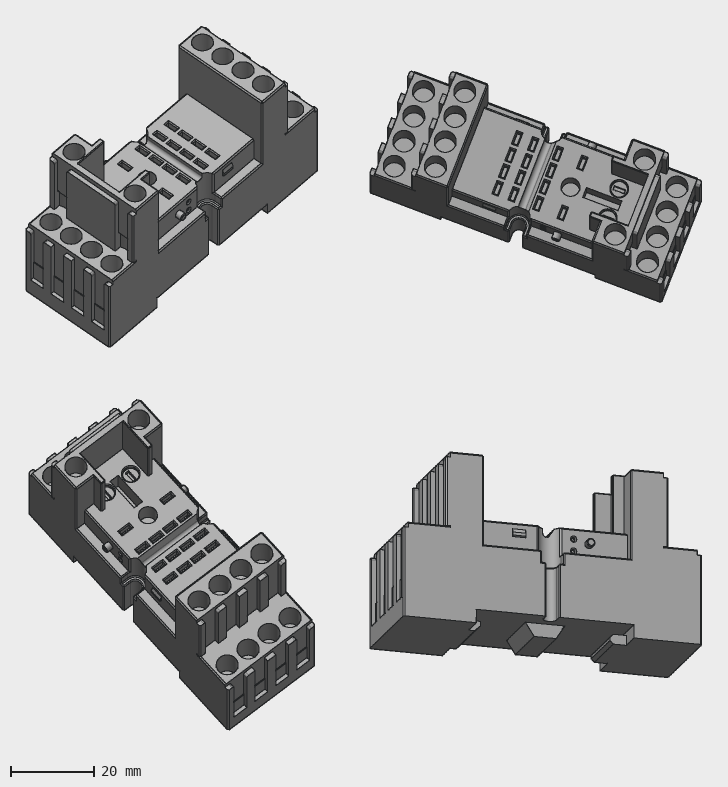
import cadquery as cq
import math


WIDTH = 27.2
LENGTH = 75.2
HEIGHT = 42.6
HALF_WIDTH = WIDTH / 2
HALF_LENGTH = LENGTH / 2
EDGE_CHAMFER = 0.4
OVERLAP = 0.75
TOLERANCE = 0.01

RIB_DEPTH = 1.2
RIB_TOP_DROP = 1.35
LOWER_TOP = 23.85
SHELF_TOP = 19.9
LOWER_FACE = HALF_LENGTH - RIB_DEPTH
REAR_UPPER_FACE = 25.7
FRONT_UPPER_FACE = -27.9
REAR_INNER_FACE = 17.4
FRONT_INNER_FACE = -19.6

RAIL_DEPTH = 3.4
RAIL_REAR = 19.25
RAIL_FRONT = -20.45
CLIP_WIDTH = 15.05
CLIP_TOP = 2.5
FIXED_CLIP_ROOT = 17.4
FIXED_CLIP_TIP = 16.25
FIXED_CLIP_TIP_Z = 1.4
FIXED_CLIP_TOE = 17.75
SPRING_CLIP_TIP = -16.3
SPRING_CLIP_BEVEL = 0.8
FOOT_TOP_HALF = 5.0
FOOT_BASE_HALF = 2.8

TERMINAL_COUNT = 4
TERMINAL_PITCH = 6.55
TERMINAL_XS = [(i - (TERMINAL_COUNT - 1) / 2) * TERMINAL_PITCH for i in range(TERMINAL_COUNT)]
OUTER_TERMINAL_XS = [TERMINAL_XS[0], TERMINAL_XS[-1]]
CHANNEL_WIDTH = 4.0
CHANNEL_BOTTOM = 5.2
PAD_TOP = 10.9
PAD_THICKNESS = 0.2
RIB_FILLET = 0.6
MOUTH_REACH = CHANNEL_WIDTH * 0.6
RELIEF_TOP = 29.7
RELIEF_RADIUS = 5.65

TERMINAL_DIAMETER = 5.3
TERMINAL_DEPTH = 9.0
REAR_LOWER_ROW = 32.6
REAR_UPPER_ROW = 22.0
FRONT_UPPER_ROW = -24.2
FRONT_LOWER_ROW = -32.55

SEAT_WIDTH = 21.9
SEAT_TOP = 27.0
SEAT_ROOT = SHELF_TOP - OVERLAP
SEAT_SIDE = SEAT_WIDTH / 2

NOTCH_CENTER_X = 11.4
NOTCH_WIDTH = 3.3
NOTCH_SEAT_WIDTH = 5.6
NOTCH_CHAMFER = 0.3
NOTCH_SEAT_Z = 16.9

GROOVE_WALL = 1.05
GROOVE_RADIUS = 1.0
GROOVE_DEPTH = 2.0
GROOVE_SLOPE_ANGLE = 58.0

CONTACT_XS = [-6.55, -2.14, 2.14, 6.55]
CONTACT_ROWS = [(7.3, CONTACT_XS), (3.15, CONTACT_XS), (-3.15, CONTACT_XS), (-9.5, [-6.55, 6.55])]
CONTACT_LENGTH = 2.9
CONTACT_WIDTH = 1.05
CONTACT_DEPTH = 2.25
CONTACT_BEVEL = 0.3

KEY_HOLE_DIAMETER = 4.5
KEY_HOLE_Y = -8.95
KEY_SLOT_WIDTH = 2.55
KEY_SLOT_REAR = -12.55
KEY_SLOT_FRONT = -21.65
KEY_DEPTH = 6.0

BAY_HALF_WIDTH = 6.6
BAY_FRONT = -26.4
BAY_WALL_END = -16.85
BAY_WALL_THICKNESS = 1.4
BAY_CHAMFER = 0.2
COIL_SCREW_X = 3.8
COIL_SCREW_Y = -20.0
COIL_SCREW_DIAMETER = 4.0
COIL_SCREW_RIM = 4.5
COIL_SCREW_DEPTH = 1.1
DRIVER_SLOT_WIDTH = 1.0
DRIVER_SLOT_LENGTH = 2.85
DRIVER_SLOT_DEPTH = 2.25

PIN_DIAMETER = 2.0
PIN_Y = -9.9
PIN_Z = 23.4
PIN_END_X = 12.8
PIN_CHAMFER = 0.2
DIMPLE_DIAMETER = 1.0
DIMPLE_RIM = 1.6
DIMPLE_DEPTH = 1.1
DIMPLE_Y = -6.1
DIMPLE_ZS = [21.35, 24.4]
CATCH_CENTER_Y = 7.7
CATCH_LENGTH = 3.3
CATCH_REACH = 0.5
CATCH_TOP = 25.5
CATCH_BOTTOM = 23.5
CATCH_TOP_SLOPE = 1.0
CATCH_BOTTOM_SLOPE = 0.2


def block(x0, x1, y0, y1, z0, z1):
    """Box between two opposite corners."""
    return cq.Workplane("XY").box(x1 - x0, y1 - y0, z1 - z0, centered=False).translate((x0, y0, z0))


def both_sides(shape):
    """Add the mirror image across the YZ plane."""
    return shape.union(shape.mirror("YZ"))


def cross_section(points, width):
    """Extrude a closed YZ outline symmetrically along X."""
    return cq.Workplane("YZ").polyline(points).close().extrude(width / 2, both=True)


def side_slots(slot_width, z0, z1):
    """Round-ended cutters entering from both sides."""
    radius = slot_width / 2
    reach = HALF_WIDTH + radius
    cutter = block(NOTCH_CENTER_X, reach, -radius, radius, z0, z1)
    base = cq.Workplane("XY").workplane(offset=z0)
    rounded = base.center(NOTCH_CENTER_X, 0).circle(radius).extrude(z1 - z0)
    return both_sides(cutter.union(rounded))


def is_broken_side_edge(edge):
    """Side outline edges to chamfer: all but the underside and the corners behind the ribs."""
    center = edge.Center()
    box = edge.BoundingBox()
    on_side = abs(abs(center.x) - HALF_WIDTH) < TOLERANCE and box.xlen < TOLERANCE
    upright = box.ylen < TOLERANCE
    behind_ribs = upright and not FRONT_UPPER_FACE + TOLERANCE < center.y < REAR_UPPER_FACE - TOLERANCE
    return on_side and center.z > RAIL_DEPTH + TOLERANCE and not behind_ribs


def is_inner_top_edge(edge):
    """Top edges of the tiers facing the relay seat."""
    center = edge.Center()
    facing_seat = FRONT_INNER_FACE - TOLERANCE < center.y < REAR_INNER_FACE + TOLERANCE
    return center.z > HEIGHT - TOLERANCE and facing_seat and edge.BoundingBox().ylen < TOLERANCE


def is_notch_edge(edge):
    """Rims of the notch seats at the shelf, and of the notches at the seat floor."""
    center = edge.Center()
    box = edge.BoundingBox()
    in_seat = abs(center.y) < NOTCH_SEAT_WIDTH / 2 + TOLERANCE
    in_notch = abs(center.y) < NOTCH_WIDTH / 2 + TOLERANCE
    level = box.zlen < TOLERANCE and box.xlen > TOLERANCE
    shelf_rim = in_seat and abs(center.z - SHELF_TOP) < TOLERANCE
    floor_rim = in_notch and abs(center.z - NOTCH_SEAT_Z) < TOLERANCE
    return level and (shelf_rim or floor_rim)


def pick(shape, test):
    """Edges of a shape that pass a test."""
    return shape.newObject([edge for edge in shape.edges().vals() if test(edge)])


def make_flare(slot_width, floor_z):
    """Outward-flaring cutter that bevels a slot's upright and lower edges on the +X side."""
    inner_height = HEIGHT - floor_z
    outer_height = inner_height + NOTCH_CHAMFER
    return (
        cq.Workplane("YZ")
        .workplane(offset=HALF_WIDTH - NOTCH_CHAMFER)
        .center(0, HEIGHT - inner_height / 2)
        .rect(slot_width, inner_height)
        .workplane(offset=NOTCH_CHAMFER)
        .center(0, -NOTCH_CHAMFER / 2)
        .rect(slot_width + 2 * NOTCH_CHAMFER, outer_height)
        .loft()
    )


def make_body():
    """Tiered body with its bevelled side edges and mounting notches."""
    outline = [
        (-LOWER_FACE, 0),
        (RAIL_FRONT, 0),
        (RAIL_FRONT, RAIL_DEPTH),
        (RAIL_REAR, RAIL_DEPTH),
        (RAIL_REAR, 0),
        (LOWER_FACE, 0),
        (LOWER_FACE, LOWER_TOP),
        (REAR_UPPER_FACE, LOWER_TOP),
        (REAR_UPPER_FACE, HEIGHT),
        (REAR_INNER_FACE, HEIGHT),
        (REAR_INNER_FACE, SHELF_TOP),
        (FRONT_INNER_FACE, SHELF_TOP),
        (FRONT_INNER_FACE, HEIGHT),
        (FRONT_UPPER_FACE, HEIGHT),
        (FRONT_UPPER_FACE, LOWER_TOP),
        (-LOWER_FACE, LOWER_TOP),
    ]
    body = cross_section(outline, WIDTH)
    body = pick(body, lambda edge: is_broken_side_edge(edge) or is_inner_top_edge(edge)).chamfer(EDGE_CHAMFER)
    body = body.cut(side_slots(NOTCH_SEAT_WIDTH, NOTCH_SEAT_Z, HEIGHT))
    body = body.cut(side_slots(NOTCH_WIDTH, 0, NOTCH_SEAT_Z))
    body = pick(body, is_notch_edge).chamfer(NOTCH_CHAMFER)
    body = body.cut(both_sides(make_flare(NOTCH_SEAT_WIDTH, NOTCH_SEAT_Z)))
    return body.cut(both_sides(make_flare(NOTCH_WIDTH, 0)))


def channel(x, y0, y1, z0, z1):
    """Box of channel width centered on a terminal."""
    return block(x - CHANNEL_WIDTH / 2, x + CHANNEL_WIDTH / 2, y0, y1, z0, z1)


def make_rib_panel(face_y, z0, z1, channel_xs, channel_z):
    """Ribbed panel on the end of a tier, built facing +Y with channels open at the top."""
    outer_y = face_y + RIB_DEPTH
    panel = block(-HALF_WIDTH, HALF_WIDTH, face_y, outer_y, z0, z1)
    panel = panel.edges("|Z and >Y").chamfer(EDGE_CHAMFER)
    for x in channel_xs:
        panel = panel.cut(channel(x, face_y, outer_y, channel_z, z1))
    for x in OUTER_TERMINAL_XS:
        mouth = cq.selectors.BoxSelector(
            (x - MOUTH_REACH, face_y, z1 - TOLERANCE),
            (x + MOUTH_REACH, outer_y, z1 + TOLERANCE),
        )
        panel = panel.edges("|Y").edges(mouth).fillet(RIB_FILLET)
    return panel


def make_lower_panel():
    """Rib panel of a lower tier, with a raised pad at the bottom of each channel."""
    panel = make_rib_panel(LOWER_FACE, 0, LOWER_TOP - RIB_TOP_DROP, TERMINAL_XS, CHANNEL_BOTTOM)
    for x in TERMINAL_XS:
        panel = panel.union(channel(x, LOWER_FACE, LOWER_FACE + PAD_THICKNESS, CHANNEL_BOTTOM, PAD_TOP))
    return panel


def make_upper_panel(face_y, channel_xs):
    """Rib panel of an upper tier, standing on the lower tier."""
    return make_rib_panel(face_y, LOWER_TOP, HEIGHT - RIB_TOP_DROP, channel_xs, LOWER_TOP)


def cut_driver_reliefs(part, xs, row_y):
    """Round hollows at the foot of the upper channels, concentric with the lower terminals."""
    for x in xs:
        round_hollow = (
            cq.Workplane("XY")
            .workplane(offset=LOWER_TOP)
            .center(x, row_y)
            .circle(RELIEF_RADIUS)
            .extrude(RELIEF_TOP - LOWER_TOP)
        )
        bounds = channel(x, row_y - RELIEF_RADIUS, row_y + RELIEF_RADIUS, LOWER_TOP, RELIEF_TOP)
        part = part.cut(round_hollow.intersect(bounds))
    return part


def is_seat_notch_corner(edge):
    """Upright edges where the notches meet the sides of the relay seat."""
    center = edge.Center()
    box = edge.BoundingBox()
    in_notch = abs(center.y) < NOTCH_SEAT_WIDTH / 2 + TOLERANCE
    return in_notch and box.zlen > SEAT_TOP - SHELF_TOP and abs(center.x) > SEAT_SIDE - TOLERANCE


def make_seat():
    """Raised relay seat, sunk slightly into the shelf."""
    seat = block(-SEAT_SIDE, SEAT_SIDE, FRONT_INNER_FACE, REAR_INNER_FACE, SEAT_ROOT, SEAT_TOP)
    seat = seat.edges("|Y and >Z").chamfer(EDGE_CHAMFER)
    seat = seat.cut(side_slots(NOTCH_SEAT_WIDTH, SEAT_ROOT, SEAT_TOP))
    return pick(seat, is_seat_notch_corner).chamfer(EDGE_CHAMFER)


def make_groove():
    """Cross groove with one upright wall, a round floor and one sloping wall."""
    center_y = GROOVE_WALL - GROOVE_RADIUS
    center_z = SEAT_TOP - GROOVE_DEPTH + GROOVE_RADIUS
    slope = math.radians(GROOVE_SLOPE_ANGLE)
    slope_y = center_y - GROOVE_RADIUS * math.sin(slope)
    slope_z = center_z - GROOVE_RADIUS * math.cos(slope)
    slope_run = (SEAT_TOP - slope_z) / math.tan(slope)
    return (
        cq.Workplane("YZ")
        .moveTo(GROOVE_WALL, SEAT_TOP)
        .lineTo(GROOVE_WALL, center_z)
        .threePointArc((center_y, center_z - GROOVE_RADIUS), (slope_y, slope_z))
        .lineTo(slope_y - slope_run, SEAT_TOP)
        .close()
        .extrude(HALF_WIDTH, both=True)
    )


def make_contact(x, y):
    """Rectangular contact opening with a bevelled rim."""
    rim = (
        cq.Workplane("XY")
        .workplane(offset=SEAT_TOP)
        .center(x, y)
        .rect(CONTACT_LENGTH + 2 * CONTACT_BEVEL, CONTACT_WIDTH + 2 * CONTACT_BEVEL)
        .workplane(offset=-CONTACT_BEVEL)
        .rect(CONTACT_LENGTH, CONTACT_WIDTH)
        .loft()
    )
    shaft = (
        cq.Workplane("XY")
        .workplane(offset=SEAT_TOP)
        .center(x, y)
        .rect(CONTACT_LENGTH, CONTACT_WIDTH)
        .extrude(-CONTACT_DEPTH)
    )
    return rim.union(shaft)


def drill(points, top_z, diameter, depth):
    """Blind cylindrical cutters entering from above."""
    return cq.Workplane("XY").workplane(offset=top_z).pushPoints(points).circle(diameter / 2).extrude(-depth)


def sunk_hole(diameter, rim_diameter, depth):
    """Blind hole cutter with a countersunk rim, entering along -Z from the origin."""
    sink = (rim_diameter - diameter) / 2
    outline = [(0, 0), (rim_diameter / 2, 0), (diameter / 2, -sink), (diameter / 2, -depth), (0, -depth)]
    return cq.Workplane("XZ").polyline(outline).close().revolve(360, (0, 0, 0), (0, 1, 0))


def cut_terminals(part):
    rows = [
        (REAR_LOWER_ROW, LOWER_TOP, TERMINAL_XS),
        (REAR_UPPER_ROW, HEIGHT, TERMINAL_XS),
        (FRONT_UPPER_ROW, HEIGHT, OUTER_TERMINAL_XS),
        (FRONT_LOWER_ROW, LOWER_TOP, TERMINAL_XS),
    ]
    for y, top_z, xs in rows:
        part = part.cut(drill([(x, y) for x in xs], top_z, TERMINAL_DIAMETER, TERMINAL_DEPTH))
    return part


def cut_contacts(part):
    for y, xs in CONTACT_ROWS:
        for x in xs:
            part = part.cut(make_contact(x, y))
    return part


def cut_key(part):
    """Round hole and long slot on the center line of the relay seat."""
    half_slot = KEY_SLOT_WIDTH / 2
    slot = block(-half_slot, half_slot, KEY_SLOT_FRONT, KEY_SLOT_REAR, SEAT_TOP - KEY_DEPTH, SEAT_TOP)
    return part.cut(drill([(0, KEY_HOLE_Y)], SEAT_TOP, KEY_HOLE_DIAMETER, KEY_DEPTH)).cut(slot)


def cut_dimples(part):
    """Small countersunk holes in both sides of the relay seat."""
    dimple = sunk_hole(DIMPLE_DIAMETER, DIMPLE_RIM, DIMPLE_DEPTH).rotate((0, 0, 0), (0, 1, 0), 90)
    for z in DIMPLE_ZS:
        part = part.cut(both_sides(dimple.translate((SEAT_SIDE, DIMPLE_Y, z))))
    return part


def make_bay_wall():
    """Wall reaching from the front tier on the +X side of the coil screw bay."""
    return block(
        BAY_HALF_WIDTH,
        BAY_HALF_WIDTH + BAY_WALL_THICKNESS,
        FRONT_INNER_FACE - OVERLAP,
        BAY_WALL_END,
        SEAT_TOP - OVERLAP,
        HEIGHT,
    )


def is_bay_wall_edge(edge):
    """Top edges of the bay walls and the upright edges at their free ends."""
    center = edge.Center()
    box = edge.BoundingBox()
    wall_outside = BAY_HALF_WIDTH + BAY_WALL_THICKNESS
    on_wall = BAY_HALF_WIDTH - TOLERANCE < abs(center.x) < wall_outside + TOLERANCE
    top = center.z > HEIGHT - TOLERANCE and center.y > BAY_FRONT + TOLERANCE
    free_end = abs(center.y - BAY_WALL_END) < TOLERANCE and center.z > SEAT_TOP + TOLERANCE
    return on_wall and (free_end or (top and box.ylen > BAY_WALL_THICKNESS))


def cut_coil_screws(part):
    for x in (-COIL_SCREW_X, COIL_SCREW_X):
        place = (x, COIL_SCREW_Y, SEAT_TOP)
        part = part.cut(sunk_hole(COIL_SCREW_DIAMETER, COIL_SCREW_RIM, COIL_SCREW_DEPTH).translate(place))
        driver = cq.Workplane("XY").rect(DRIVER_SLOT_WIDTH, DRIVER_SLOT_LENGTH).extrude(-DRIVER_SLOT_DEPTH)
        part = part.cut(driver.translate(place))
    return part


def make_pin():
    """Round retainer pin on the +X side of the seat."""
    pin = cq.Workplane("YZ").center(PIN_Y, PIN_Z).circle(PIN_DIAMETER / 2).extrude(PIN_END_X - SEAT_SIDE)
    pin = pin.translate((SEAT_SIDE, 0, 0))
    return pin.faces(">X").chamfer(PIN_CHAMFER)


def make_catch():
    """Wedge-shaped catch on the +X side of the seat."""
    outline = [
        (SEAT_SIDE - OVERLAP, CATCH_TOP),
        (SEAT_SIDE, CATCH_TOP),
        (SEAT_SIDE + CATCH_REACH, CATCH_TOP - CATCH_TOP_SLOPE),
        (SEAT_SIDE + CATCH_REACH, CATCH_BOTTOM + CATCH_BOTTOM_SLOPE),
        (SEAT_SIDE, CATCH_BOTTOM),
        (SEAT_SIDE - OVERLAP, CATCH_BOTTOM),
    ]
    catch = cq.Workplane("XZ").polyline(outline).close().extrude(CATCH_LENGTH / 2, both=True)
    return catch.translate((0, CATCH_CENTER_Y, 0))


def make_rail_clips():
    """Fixed and spring rail hooks, and the tapered foot between them."""
    fixed = [
        (RAIL_REAR, 0),
        (RAIL_REAR, RAIL_DEPTH),
        (FIXED_CLIP_ROOT, RAIL_DEPTH),
        (FIXED_CLIP_ROOT, CLIP_TOP),
        (FIXED_CLIP_TIP, CLIP_TOP),
        (FIXED_CLIP_TIP, FIXED_CLIP_TIP_Z),
        (FIXED_CLIP_TOE, 0),
    ]
    spring = [
        (RAIL_FRONT, 0),
        (RAIL_FRONT, CLIP_TOP),
        (SPRING_CLIP_TIP - SPRING_CLIP_BEVEL, CLIP_TOP),
        (SPRING_CLIP_TIP, CLIP_TOP - SPRING_CLIP_BEVEL),
        (SPRING_CLIP_TIP, SPRING_CLIP_BEVEL),
        (SPRING_CLIP_TIP - SPRING_CLIP_BEVEL, 0),
    ]
    foot = [
        (-FOOT_TOP_HALF, RAIL_DEPTH),
        (FOOT_TOP_HALF, RAIL_DEPTH),
        (FOOT_BASE_HALF, 0),
        (-FOOT_BASE_HALF, 0),
    ]
    clips = cross_section(fixed, CLIP_WIDTH)
    return clips.union(cross_section(spring, CLIP_WIDTH)).union(cross_section(foot, CLIP_WIDTH))


body = make_body()
body = body.union(make_seat())
body = body.cut(make_groove())

lower_panel = make_lower_panel()
body = body.union(lower_panel).union(lower_panel.mirror("XZ"))
body = body.union(make_upper_panel(REAR_UPPER_FACE, TERMINAL_XS))
body = body.union(make_upper_panel(-FRONT_UPPER_FACE, OUTER_TERMINAL_XS).mirror("XZ"))
body = cut_driver_reliefs(body, TERMINAL_XS, REAR_LOWER_ROW)
body = cut_driver_reliefs(body, OUTER_TERMINAL_XS, FRONT_LOWER_ROW)

body = body.union(both_sides(make_bay_wall()))
body = body.cut(block(-BAY_HALF_WIDTH, BAY_HALF_WIDTH, BAY_FRONT, BAY_WALL_END, SEAT_TOP, HEIGHT))
body = pick(body, is_bay_wall_edge).chamfer(BAY_CHAMFER)
body = cut_terminals(body)
body = cut_contacts(body)
body = cut_key(body)
body = cut_coil_screws(body)

body = body.union(both_sides(make_pin())).union(both_sides(make_catch()))
body = cut_dimples(body)
result = body.union(make_rail_clips())